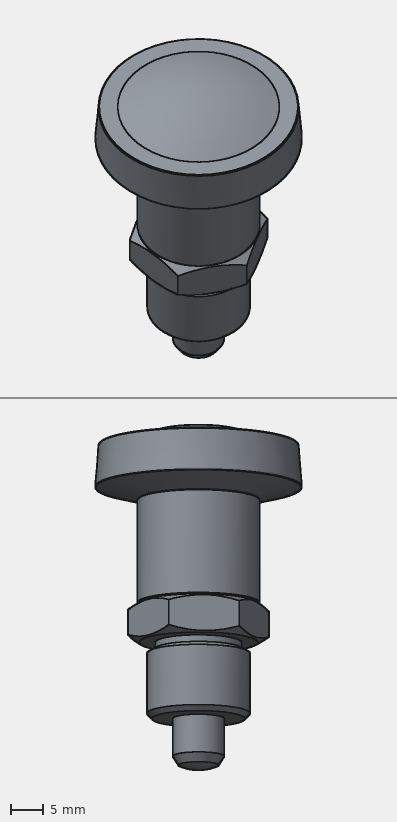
import cadquery as cq
import math

TOTAL_HEIGHT = 53.8

PIN_DIAMETER = 8.0
PIN_TIP_DIAMETER = 6.25
PIN_DOME_HEIGHT = 0.7
PIN_TAPER_TOP = 2.1

SHANK_DIAMETER = 16.0
SHANK_BOTTOM = 8.0
SHANK_BOTTOM_CHAMFER = 0.8
SHANK_TOP = 18.3
NECK_DIAMETER = 13.4
NECK_BOTTOM = 19.0

HEX_SIDES = 6
HEX_ACROSS_FLATS = 19.0
HEX_FACE_DIAMETER = 18.35
HEX_BOTTOM = 20.0
HEX_HEIGHT = 6.0
HEX_CHAMFER_ANGLE = 30.0

SLEEVE_DIAMETER = 19.0
SLEEVE_EDGE_CHAMFER = 0.15
KNOB_BOTTOM = 42.5
KNOB_DIAMETER = 32.0
KNOB_TOP_DIAMETER = 31.05
KNOB_TOP = 51.1
KNOB_TOP_CHAMFER = 0.15
KNOB_RIM_BOTTOM = 44.35
KNOB_RIM_HEIGHT = 0.45
KNOB_RIM_CHAMFER = 0.1
DOME_DIAMETER = 25.0

HEX_TOP = HEX_BOTTOM + HEX_HEIGHT
SLEEVE_END_DIAMETER = SLEEVE_DIAMETER - 2 * SLEEVE_EDGE_CHAMFER


def dome_point(base_diameter, base_z, apex_z):
    """Point (radius, z) halfway along a spherical cap from its rim to its apex on the axis."""
    rim_radius = base_diameter / 2
    rise = apex_z - base_z
    sphere_radius = (rim_radius**2 + rise**2) / (2 * abs(rise))
    half_angle = math.asin(rim_radius / sphere_radius) / 2
    drop = sphere_radius * (1 - math.cos(half_angle))
    return sphere_radius * math.sin(half_angle), apex_z - math.copysign(drop, rise)


def turned_body():
    """Everything but the hexagon, as one revolved profile of (radius, z) points."""
    profile = (
        cq.Workplane("XZ")
        .moveTo(0, 0)
        .threePointArc(
            dome_point(PIN_TIP_DIAMETER, PIN_DOME_HEIGHT, 0),
            (PIN_TIP_DIAMETER / 2, PIN_DOME_HEIGHT),
        )
        .lineTo(PIN_DIAMETER / 2, PIN_TAPER_TOP)
        .lineTo(PIN_DIAMETER / 2, SHANK_BOTTOM)
        .lineTo(SHANK_DIAMETER / 2 - SHANK_BOTTOM_CHAMFER, SHANK_BOTTOM)
        .lineTo(SHANK_DIAMETER / 2, SHANK_BOTTOM + SHANK_BOTTOM_CHAMFER)
        .lineTo(SHANK_DIAMETER / 2, SHANK_TOP)
        .lineTo(NECK_DIAMETER / 2, NECK_BOTTOM)
        .lineTo(NECK_DIAMETER / 2, HEX_TOP)
        .lineTo(SLEEVE_END_DIAMETER / 2, HEX_TOP)
        .lineTo(SLEEVE_DIAMETER / 2, HEX_TOP + SLEEVE_EDGE_CHAMFER)
        .lineTo(SLEEVE_DIAMETER / 2, KNOB_BOTTOM - SLEEVE_EDGE_CHAMFER)
        .lineTo(SLEEVE_END_DIAMETER / 2, KNOB_BOTTOM)
        .lineTo(KNOB_DIAMETER / 2 - KNOB_RIM_CHAMFER, KNOB_RIM_BOTTOM)
        .lineTo(KNOB_DIAMETER / 2, KNOB_RIM_BOTTOM + KNOB_RIM_CHAMFER)
        .lineTo(KNOB_DIAMETER / 2, KNOB_RIM_BOTTOM + KNOB_RIM_HEIGHT)
        .lineTo(KNOB_TOP_DIAMETER / 2, KNOB_TOP - KNOB_TOP_CHAMFER)
        .lineTo(KNOB_TOP_DIAMETER / 2 - KNOB_TOP_CHAMFER, KNOB_TOP)
        .lineTo(DOME_DIAMETER / 2, KNOB_TOP)
        .threePointArc(dome_point(DOME_DIAMETER, KNOB_TOP, TOTAL_HEIGHT), (0, TOTAL_HEIGHT))
        .close()
    )
    return profile.revolve(360, (0, 0), (0, 1))


def hexagon_collar():
    """Hexagon with corners on the X axis, its corners turned off by a cone at each end."""
    across_corners = HEX_ACROSS_FLATS / math.cos(math.pi / HEX_SIDES)
    hexagon = (
        cq.Workplane("XY")
        .workplane(offset=HEX_BOTTOM)
        .polygon(HEX_SIDES, across_corners)
        .extrude(HEX_HEIGHT)
    )
    corner_radius = across_corners / 2
    face_radius = HEX_FACE_DIAMETER / 2
    corner_drop = (corner_radius - face_radius) * math.tan(math.radians(HEX_CHAMFER_ANGLE))
    turned_envelope = (
        cq.Workplane("XZ")
        .moveTo(0, HEX_BOTTOM)
        .lineTo(face_radius, HEX_BOTTOM)
        .lineTo(corner_radius, HEX_BOTTOM + corner_drop)
        .lineTo(corner_radius, HEX_TOP - corner_drop)
        .lineTo(face_radius, HEX_TOP)
        .lineTo(0, HEX_TOP)
        .close()
        .revolve(360, (0, 0), (0, 1))
    )
    return hexagon.intersect(turned_envelope)


result = turned_body().union(hexagon_collar())